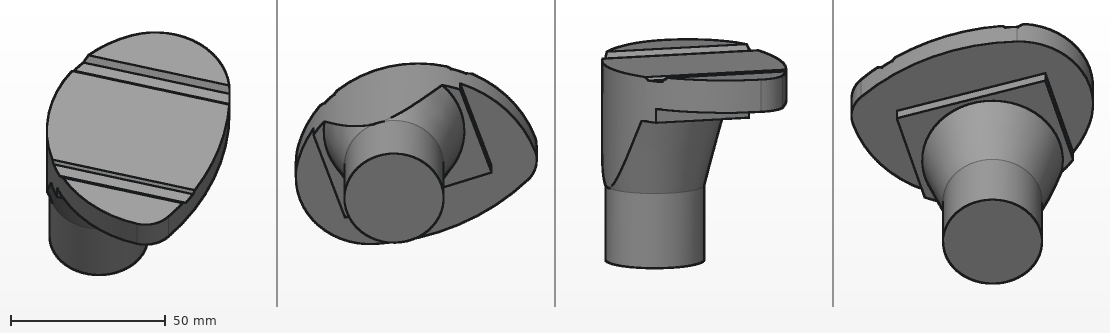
import cadquery as cq
import math

stem_radius = 16.0
stem_height = 24.5
flare_height = 25.0
flare_half_angle = 15.0

block_height = 4.5
block_half_width = 25.0
block_right = 24.2

left_radius = 40.0
right_radius = 75.0
right_edge = 41.0
back_radius = 24.0
corner_radius = 10.0

floor_thickness = 9.0
middle_thickness = 10.0
front_thickness = 10.6
back_thickness = 10.88

groove_floor_width = 4.0
back_groove_start = 16.0
front_groove_start = -26.5

block_bottom = stem_height + flare_height
head_bottom = block_bottom + block_height
head_top = head_bottom + back_thickness
left_center = (left_radius - stem_radius, 0.0)
right_center = (right_edge - right_radius, 0.0)


def blend_center(radius, side):
    """Centre of an arc that touches the left and right arcs from inside; side is +1 or -1 in Y."""
    to_left = left_radius - radius
    to_right = right_radius - radius
    spacing = left_center[0] - right_center[0]
    from_right = (to_right**2 - to_left**2 + spacing**2) / (2 * spacing)
    return (right_center[0] + from_right, side * math.sqrt(to_right**2 - from_right**2))


def tangent_point(big_center, big_radius, small_center):
    """Point of the big arc that lies in line with the centre of an arc touching it from inside."""
    dx = small_center[0] - big_center[0]
    dy = small_center[1] - big_center[1]
    stretch = big_radius / math.hypot(dx, dy)
    return (big_center[0] + dx * stretch, big_center[1] + dy * stretch)


def make_outline(bottom):
    """Closed egg-shaped outline of the head, drawn at the given height."""
    back_center = blend_center(back_radius, 1)
    corner_center = blend_center(corner_radius, -1)
    back_left = tangent_point(left_center, left_radius, back_center)
    back_right = tangent_point(right_center, right_radius, back_center)
    corner_left = tangent_point(left_center, left_radius, corner_center)
    corner_right = tangent_point(right_center, right_radius, corner_center)
    back_tip = (back_center[0], back_center[1] + back_radius)
    diagonal = corner_radius * math.sqrt(0.5)
    corner_tip = (corner_center[0] + diagonal, corner_center[1] - diagonal)
    return (
        cq.Workplane("XY", origin=(0, 0, bottom))
        .moveTo(*back_left)
        .threePointArc(back_tip, back_right)
        .threePointArc((right_edge, 0), corner_right)
        .threePointArc(corner_tip, corner_left)
        .threePointArc((-stem_radius, 0), back_left)
        .close()
    )


def make_head():
    """Egg-shaped plate whose top steps through two grooves along X."""
    floor_z = head_bottom + floor_thickness
    middle_z = head_bottom + middle_thickness
    front_z = head_bottom + front_thickness
    wall_middle = middle_z - floor_z
    wall_front = front_z - floor_z
    wall_back = head_top - floor_z
    back_groove_end = back_groove_start + groove_floor_width
    front_groove_end = front_groove_start + groove_floor_width
    reach = 2 * left_radius
    profile = (
        cq.Workplane("YZ", origin=(-reach, 0, 0))
        .moveTo(-reach, head_bottom)
        .lineTo(-reach, front_z)
        .lineTo(front_groove_start - wall_front, front_z)
        .lineTo(front_groove_start, floor_z)
        .lineTo(front_groove_end, floor_z)
        .lineTo(front_groove_end + wall_middle, middle_z)
        .lineTo(back_groove_start - wall_middle, middle_z)
        .lineTo(back_groove_start, floor_z)
        .lineTo(back_groove_end, floor_z)
        .lineTo(back_groove_end + wall_back, head_top)
        .lineTo(reach, head_top)
        .lineTo(reach, head_bottom)
        .close()
        .extrude(2 * reach)
    )
    return make_outline(head_bottom).extrude(back_thickness).intersect(profile)


def make_block():
    """Block under the head, ending on the left in the left arc of the outline."""
    box = cq.Workplane("XY").box(
        stem_radius + block_right, 2 * block_half_width, block_height, centered=(False, True, False)
    )
    box = box.translate((-stem_radius, 0, block_bottom))
    return box.intersect(make_outline(block_bottom).extrude(block_height))


def revolve_section(bottom_radius, top_radius, bottom, top):
    """Solid of revolution about Z; its seam faces -X, where the stem touches the left arc."""
    return (
        cq.Workplane("XZ")
        .moveTo(0, bottom)
        .lineTo(-bottom_radius, bottom)
        .lineTo(-top_radius, top)
        .lineTo(0, top)
        .close()
        .revolve(360, (0, 0, 0), (0, 1, 0))
    )


def make_flare():
    """Cone widening upward from the stem, trimmed by the left arc of the outline."""
    flare_radius = stem_radius + flare_height * math.tan(math.radians(flare_half_angle))
    cone = revolve_section(stem_radius, flare_radius, stem_height, block_bottom)
    return cone.intersect(make_outline(stem_height).extrude(flare_height))


def make_stem():
    """Plain round stem standing on Z = 0."""
    return revolve_section(stem_radius, stem_radius, 0, stem_height)


result = make_stem().union(make_flare()).union(make_block()).union(make_head())